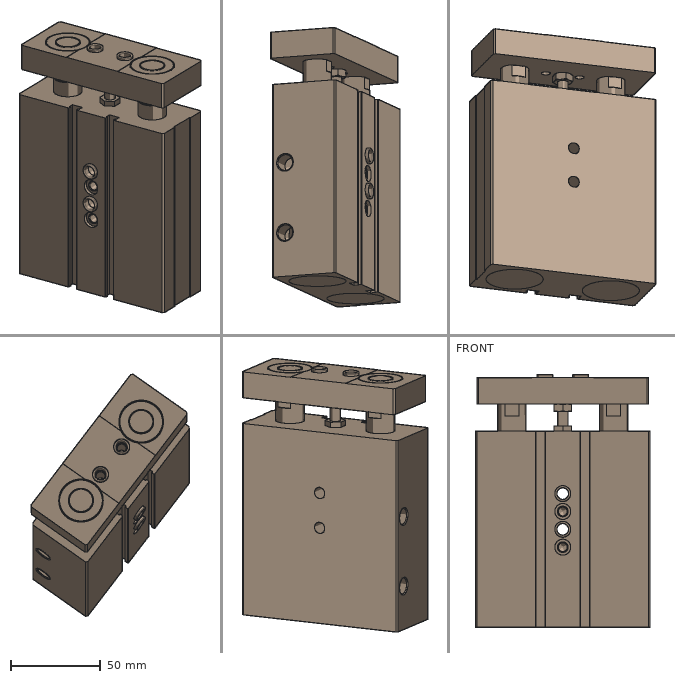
import cadquery as cq
import math


TOTAL_HEIGHT = 141.8
HOUSING_WIDTH = 98.0
HOUSING_HALF_DEPTH = 19.1
HOUSING_HEIGHT = 109.9
ROD_OFFSET_X = 28.5
CORNER_CHAMFER = 1.0

SLOT_CENTER_X = 12.5
SLOT_OPENING = 5.0
SLOT_INNER_WIDTH = 6.5
SLOT_DEPTH = 5.0
SLOT_LIP = 2.0
SLOT_MOUTH_CHAMFER = 0.4
GROOVE_WIDTH = 15.6
GROOVE_DEPTH = 0.5

SLEEVE_PITCH = 20.0
HOLE_PITCH = SLEEVE_PITCH / 2
SLEEVE_OUTER_DIAMETER = 9.0
SLEEVE_BORE = 6.4
SLEEVE_PROTRUSION = 1.7
SLEEVE_RECESS_DEPTH = 2.1
THREAD_DIAMETER = 6.0
CORE_DIAMETER = 5.0
BLIND_HOLE_DEPTH = 12.0
LOWEST_HOLE_Z = 45.0
BLIND_HOLE_ZS = (LOWEST_HOLE_Z, LOWEST_HOLE_Z + SLEEVE_PITCH)
SLEEVE_HOLE_ZS = (LOWEST_HOLE_Z + HOLE_PITCH, LOWEST_HOLE_Z + HOLE_PITCH + SLEEVE_PITCH)
PLATE_SLEEVE_XS = (-HOLE_PITCH, HOLE_PITCH)
DRILL_POINT_ANGLE = 118.0
MOUTH_ANGLE = 90.0

PORT_DIAMETER = 9.0
PORT_MOUTH_DIAMETER = 10.0
PORT_DEPTH = 11.0
PORT_Y = 11.3
LOWER_PORT_Z = 25.0
UPPER_PORT_Z = LOWEST_HOLE_Z + SLEEVE_PITCH

PLATE_WIDTH = 96.1
PLATE_FRONT_Y = -18.2
PLATE_BACK_Y = 21.0
PLATE_THICKNESS = 15.0
PLATE_TOP_Z = TOTAL_HEIGHT - SLEEVE_PROTRUSION
PLATE_BOTTOM_Z = PLATE_TOP_Z - PLATE_THICKNESS
PAD_WIDTH = 34.6
PAD_HEIGHT = 0.1
DECK_Z = PLATE_TOP_Z - PAD_HEIGHT
RING_OUTER_DIAMETER = 25.0
RING_INNER_DIAMETER = 24.0
RING_DEPTH = 1.0

PISTON_ROD_DIAMETER = 6.0
HEX_ACROSS_FLATS = 9.9
HEX_ACROSS_CORNERS = HEX_ACROSS_FLATS / math.cos(math.radians(30))
NUT_HEIGHT = 4.1
NUT_CONE_SLOPE = 0.5
COLLAR_HEIGHT = 3.0

ROD_DIAMETER = 16.0
SPIGOT_DIAMETER = 14.0
SPIGOT_CHAMFER = 0.5
FLAT_LENGTH = 6.5
FOOT_DIAMETER = 32.0
FOOT_HEIGHT = 39.7


def cylinder(diameter, height, x=0.0, y=0.0, z=0.0):
    """Upright cylinder whose lower face is centred on (x, y, z)."""
    return cq.Workplane("XY", origin=(x, y, z)).circle(diameter / 2).extrude(height)


def cone_drop(start_diameter, end_diameter, angle):
    """Height over which a cone of the given full angle narrows between two diameters."""
    return (start_diameter - end_diameter) / 2 / math.tan(math.radians(angle / 2))


def drilled_hole(mouth_diameter, diameter, depth):
    """Cutter for a blind hole drilled down -Z from the origin, with a 90 degree mouth and a drill point."""
    mouth_depth = cone_drop(mouth_diameter, diameter, MOUTH_ANGLE)
    point_depth = depth + cone_drop(diameter, 0.0, DRILL_POINT_ANGLE)
    return (
        cq.Workplane("XZ")
        .moveTo(0, 0)
        .lineTo(mouth_diameter / 2, 0)
        .lineTo(diameter / 2, -mouth_depth)
        .lineTo(diameter / 2, -depth)
        .lineTo(0, -point_depth)
        .close()
        .revolve(360, (0, 0, 0), (0, 1, 0))
    )


def face_front(shape, z):
    """Turn a shape whose outside is +Z so that it looks out of the housing front at height z."""
    return shape.rotate((0, 0, 0), (1, 0, 0), 90).translate((0, -HOUSING_HALF_DEPTH, z))


def sleeve_recess():
    """Cutter for the shallow round recess under Z = 0 that takes a sleeve."""
    return cylinder(SLEEVE_OUTER_DIAMETER, SLEEVE_RECESS_DEPTH, z=-SLEEVE_RECESS_DEPTH)


def sensor_slot(x):
    """Cutter for one full-height slot with chamfered mouth edges and lips over a wider inside."""
    mouth_y = -HOUSING_HALF_DEPTH
    half_opening = SLOT_OPENING / 2
    half_mouth = half_opening + SLOT_MOUTH_CHAMFER
    mouth = (
        cq.Workplane("XY")
        .polyline([
            (x - half_mouth, mouth_y),
            (x + half_mouth, mouth_y),
            (x + half_opening, mouth_y + SLOT_MOUTH_CHAMFER),
            (x + half_opening, mouth_y + SLOT_LIP),
            (x - half_opening, mouth_y + SLOT_LIP),
            (x - half_opening, mouth_y + SLOT_MOUTH_CHAMFER),
        ])
        .close()
        .extrude(HOUSING_HEIGHT)
    )
    inside_depth = SLOT_DEPTH - SLOT_LIP
    inside = (
        cq.Workplane("XY", origin=(x, mouth_y + SLOT_LIP + inside_depth / 2, 0))
        .rect(SLOT_INNER_WIDTH, inside_depth)
        .extrude(HOUSING_HEIGHT)
    )
    return mouth.union(inside)


def air_port(z):
    """Cutter for one blind port drilled into the -X face."""
    cutter = drilled_hole(PORT_MOUTH_DIAMETER, PORT_DIAMETER, PORT_DEPTH)
    return cutter.rotate((0, 0, 0), (0, 1, 0), -90).translate((-HOUSING_WIDTH / 2, PORT_Y, z))


def make_housing(guide_rods):
    """Slotted housing block with its ports, front mounting holes and bores for the guide rods."""
    body = (
        cq.Workplane("XY")
        .rect(HOUSING_WIDTH, 2 * HOUSING_HALF_DEPTH)
        .extrude(HOUSING_HEIGHT)
        .edges("|Z")
        .chamfer(CORNER_CHAMFER)
    )
    for side in (-1, 1):
        body = body.cut(sensor_slot(side * SLOT_CENTER_X))
    groove = cq.Workplane("XY", origin=(HOUSING_WIDTH / 2, 0, 0)).rect(2 * GROOVE_DEPTH, GROOVE_WIDTH)
    body = body.cut(groove.extrude(HOUSING_HEIGHT))
    for z in (LOWER_PORT_Z, UPPER_PORT_Z):
        body = body.cut(air_port(z))
    for z in BLIND_HOLE_ZS:
        tapped_hole = drilled_hole(THREAD_DIAMETER, CORE_DIAMETER, BLIND_HOLE_DEPTH)
        tapped_hole = tapped_hole.translate((0, 0, -SLEEVE_RECESS_DEPTH))
        body = body.cut(face_front(sleeve_recess().union(tapped_hole), z))
    for z in SLEEVE_HOLE_ZS:
        through_hole = cylinder(SLEEVE_BORE, 2 * HOUSING_HALF_DEPTH, z=-2 * HOUSING_HALF_DEPTH)
        body = body.cut(face_front(sleeve_recess().union(through_hole), z))
    for rod in guide_rods:
        body = body.cut(rod)
    return body


def make_guide_rod(x):
    """Guide rod: wide foot in the housing, flatted shank, and a chamfered spigot through the plate."""
    foot = cylinder(FOOT_DIAMETER, FOOT_HEIGHT, x)
    shank = cylinder(ROD_DIAMETER, PLATE_BOTTOM_Z, x)
    shank_top = cq.Workplane("XY", origin=(x, 0, PLATE_BOTTOM_Z))
    flats_zone = shank_top.rect(ROD_DIAMETER, ROD_DIAMETER).extrude(-FLAT_LENGTH)
    kept_between_flats = shank_top.rect(ROD_DIAMETER, SPIGOT_DIAMETER).extrude(-FLAT_LENGTH)
    waste = flats_zone.cut(kept_between_flats)
    spigot = cylinder(SPIGOT_DIAMETER, DECK_Z - PLATE_BOTTOM_Z, x, z=PLATE_BOTTOM_Z)
    spigot = spigot.faces(">Z").chamfer(SPIGOT_CHAMFER)
    return shank.cut(waste).union(foot).union(spigot)


def hexagon(height):
    """Hexagonal prism on Z = 0 with two flats facing -X and +X."""
    prism = cq.Workplane("XY").polygon(6, HEX_ACROSS_CORNERS).extrude(height)
    return prism.rotate((0, 0, 0), (0, 0, 1), 30)


def make_nut():
    """Hexagon nut on Z = 0 with its corners coned off at both ends."""
    corner_radius = HEX_ACROSS_CORNERS / 2
    flat_radius = HEX_ACROSS_FLATS / 2
    cone_height = (corner_radius - flat_radius) * NUT_CONE_SLOPE
    cone_envelope = (
        cq.Workplane("XZ")
        .polyline([
            (0, 0),
            (flat_radius, 0),
            (corner_radius, cone_height),
            (corner_radius, NUT_HEIGHT - cone_height),
            (flat_radius, NUT_HEIGHT),
            (0, NUT_HEIGHT),
        ])
        .close()
        .revolve(360, (0, 0, 0), (0, 1, 0))
    )
    return hexagon(NUT_HEIGHT).intersect(cone_envelope)


def make_piston_rod():
    """Piston rod from the housing top to the plate, with a collar below and a nut above."""
    rod = cylinder(PISTON_ROD_DIAMETER, PLATE_BOTTOM_Z - HOUSING_HEIGHT, z=HOUSING_HEIGHT)
    collar = hexagon(COLLAR_HEIGHT).translate((0, 0, HOUSING_HEIGHT))
    nut = make_nut().translate((0, 0, PLATE_BOTTOM_Z - NUT_HEIGHT))
    return rod.union(collar).union(nut)


def make_yoke():
    """Yoke plate together with the piston rod fixed under it."""
    plate = (
        cq.Workplane("XY", origin=(0, (PLATE_FRONT_Y + PLATE_BACK_Y) / 2, PLATE_BOTTOM_Z))
        .rect(PLATE_WIDTH, PLATE_BACK_Y - PLATE_FRONT_Y)
        .extrude(PLATE_THICKNESS - PAD_HEIGHT)
        .edges("|Z")
        .chamfer(CORNER_CHAMFER)
    )
    pad = plate.faces(">Z").workplane().rect(PAD_WIDTH, PLATE_BACK_Y - PLATE_FRONT_Y)
    plate = pad.extrude(PAD_HEIGHT)
    for side in (-1, 1):
        x = side * ROD_OFFSET_X
        ring_z = DECK_Z - RING_DEPTH
        ring = cylinder(RING_OUTER_DIAMETER, RING_DEPTH, x, z=ring_z)
        ring = ring.cut(cylinder(RING_INNER_DIAMETER, RING_DEPTH, x, z=ring_z))
        plate = plate.cut(cylinder(RING_OUTER_DIAMETER, PAD_HEIGHT, x, z=DECK_Z))
        plate = plate.cut(ring).cut(cylinder(SPIGOT_DIAMETER, PLATE_THICKNESS, x, z=PLATE_BOTTOM_Z))
    for x in PLATE_SLEEVE_XS:
        tapped_hole = drilled_hole(THREAD_DIAMETER, CORE_DIAMETER, PLATE_THICKNESS)
        tapped_hole = tapped_hole.translate((0, 0, -SLEEVE_RECESS_DEPTH))
        plate = plate.cut(sleeve_recess().union(tapped_hole).translate((x, 0, PLATE_TOP_Z)))
    return plate.union(make_piston_rod())


def make_sleeve():
    """Centring sleeve on Z: square end below Z = 0 and fully rounded rim above."""
    outer_radius = SLEEVE_OUTER_DIAMETER / 2
    bore_radius = SLEEVE_BORE / 2
    rim_radius = (outer_radius - bore_radius) / 2
    rounding_start = SLEEVE_PROTRUSION - rim_radius
    return (
        cq.Workplane("XZ")
        .moveTo(bore_radius, -SLEEVE_RECESS_DEPTH)
        .lineTo(outer_radius, -SLEEVE_RECESS_DEPTH)
        .lineTo(outer_radius, rounding_start)
        .threePointArc((outer_radius - rim_radius, SLEEVE_PROTRUSION), (bore_radius, rounding_start))
        .close()
        .revolve(360, (0, 0, 0), (0, 1, 0))
    )


guide_rods = [make_guide_rod(side * ROD_OFFSET_X) for side in (-1, 1)]
housing = make_housing(guide_rods)
yoke = make_yoke()
front_sleeves = [face_front(make_sleeve(), z) for z in SLEEVE_HOLE_ZS]
plate_sleeves = [make_sleeve().translate((x, 0, PLATE_TOP_Z)) for x in PLATE_SLEEVE_XS]

result = cq.Compound.makeCompound([
    housing.val(),
    yoke.val(),
    *[rod.val() for rod in guide_rods],
    *[sleeve.val() for sleeve in front_sleeves + plate_sleeves],
])